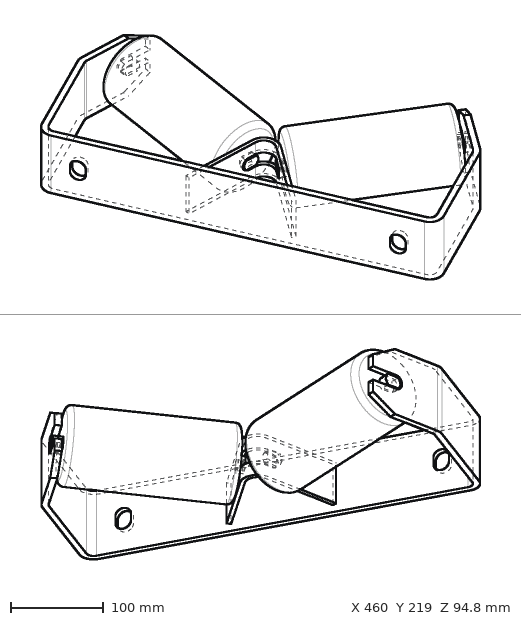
import cadquery as cq
import math

frame_width = 460.0
frame_height = 80.0
frame_thickness = 8.0
frame_bend_radius = 16.0
side_length = 133.0
wing_length = 93.5
lean = 30.0

wing_chamfer_along = 30.5
wing_chamfer_across = 17.0
shaft_slot_width = 16.5
wing_slot_depth = 40.0

mount_slot_width = 18.0
mount_slot_height = 25.5
mount_slot_x = 183.0

bracket_height = 50.0
bracket_thickness = 5.0
bracket_bend_radius = 19.0
arm_length = 126.0
bracket_slot_reach = 50.0

roller_diameter = 89.0
roller_length = 190.5
roller_edge_radius = 6.5
shaft_diameter = 20.0
shaft_outer_reach = 106.5
shaft_inner_reach = 103.5
shaft_flat_width = 14.0
roller_x = 104.5
roller_y = 135.2
roller_z = -3.0
roller_tilt = 1.9

corner_reach = 0.25

sin_lean = math.sin(math.radians(lean))
cos_lean = math.cos(math.radians(lean))
bracket_z = roller_z - roller_length / 2 * math.sin(math.radians(roller_tilt))


def bent_strip(outer_half, inner_half, height, middle_z, bends):
    """Strip mirrored about X = 0; bends lists (corner on the +X side, fillet radius)."""
    half = outer_half + inner_half
    solid = (
        cq.Workplane("XY")
        .workplane(offset=middle_z - height / 2)
        .polyline(half)
        .close()
        .extrude(height)
    )
    solid = solid.union(solid.mirror("YZ")).clean()
    for (x, y), radius in bends:
        for side in {x, -x}:
            corner = cq.selectors.BoxSelector(
                (side - corner_reach, y - corner_reach, middle_z - height),
                (side + corner_reach, y + corner_reach, middle_z + height),
            )
            solid = solid.edges("|Z").edges(corner).fillet(radius)
    return solid


def leaning_plane(x, y, z):
    """Plane on the +X wing: local X runs up the wing, local Y is Z, normal points outward."""
    return cq.Plane(origin=(x, y, z), xDir=(-sin_lean, cos_lean, 0), normal=(cos_lean, sin_lean, 0))


def make_frame():
    half_width = frame_width / 2
    bend_shift = frame_thickness * math.tan(math.radians(lean / 2))
    outer_bend = (half_width, side_length)
    inner_bend = (half_width - frame_thickness, side_length - bend_shift)
    outer_tip = (half_width - wing_length * sin_lean, side_length + wing_length * cos_lean)
    inner_tip = (outer_tip[0] - frame_thickness * cos_lean, outer_tip[1] - frame_thickness * sin_lean)
    outer_corner = (half_width, 0)
    inner_corner = (half_width - frame_thickness, frame_thickness)
    inner_radius = frame_bend_radius - frame_thickness
    frame = bent_strip(
        [(0, 0), outer_corner, outer_bend, outer_tip],
        [inner_tip, inner_bend, inner_corner, (0, frame_thickness)],
        frame_height,
        0,
        [
            (outer_corner, frame_bend_radius),
            (inner_corner, inner_radius),
            (outer_bend, frame_bend_radius),
            (inner_bend, inner_radius),
        ],
    )

    tip = cq.Workplane(leaning_plane(*outer_tip, 0))
    through = 2 * frame_thickness
    slot_radius = shaft_slot_width / 2
    slot_straight = wing_slot_depth - slot_radius
    wing_cut = (
        tip.moveTo(0, -slot_radius)
        .lineTo(-slot_straight, -slot_radius)
        .threePointArc((-wing_slot_depth, 0), (-slot_straight, slot_radius))
        .lineTo(0, slot_radius)
        .close()
        .extrude(through, both=True)
    )
    for side in (-1, 1):
        edge = side * frame_height / 2
        wing_cut = wing_cut.union(
            tip.moveTo(0, edge)
            .lineTo(-wing_chamfer_along, edge)
            .lineTo(0, edge - side * wing_chamfer_across)
            .close()
            .extrude(through, both=True)
        )
    frame = frame.cut(wing_cut).cut(wing_cut.mirror("YZ"))

    mount_slots = (
        cq.Workplane("XZ")
        .pushPoints([(-mount_slot_x, 0), (mount_slot_x, 0)])
        .slot2D(mount_slot_height, mount_slot_width, 90)
        .extrude(-frame_thickness)
    )
    return frame.cut(mount_slots)


def make_bracket():
    outer_foot = (arm_length * sin_lean, frame_thickness + bracket_thickness * sin_lean)
    inner_foot = (outer_foot[0] - bracket_thickness * cos_lean, frame_thickness)
    apex = (0, outer_foot[1] + arm_length * cos_lean)
    inner_apex = (0, apex[1] - bracket_thickness / sin_lean)
    bracket = bent_strip(
        [apex, outer_foot],
        [inner_foot, inner_apex],
        bracket_height,
        bracket_z,
        [(apex, bracket_bend_radius), (inner_apex, bracket_bend_radius - bracket_thickness)],
    )

    slot_radius = shaft_slot_width / 2
    straight = bracket_slot_reach - slot_radius
    arm_slot = (
        cq.Workplane(leaning_plane(*apex, bracket_z))
        .moveTo(0, -slot_radius)
        .lineTo(-straight, -slot_radius)
        .threePointArc((-bracket_slot_reach, 0), (-straight, slot_radius))
        .lineTo(0, slot_radius)
        .close()
        .extrude(-bracket_bend_radius)
    )
    return bracket.cut(arm_slot).cut(arm_slot.mirror("YZ"))


def make_roller(side):
    """Roller and shaft as one body; side is -1 for the -X roller and 1 for the +X roller."""
    roller = (
        cq.Workplane("YZ")
        .circle(roller_diameter / 2)
        .extrude(roller_length)
        .translate((-roller_length / 2, 0, 0))
        .edges()
        .fillet(roller_edge_radius)
    )
    shaft_length = shaft_outer_reach + shaft_inner_reach
    shaft_middle = side * (shaft_outer_reach - shaft_inner_reach) / 2
    shaft = (
        cq.Workplane("YZ")
        .circle(shaft_diameter / 2)
        .extrude(shaft_length)
        .translate((-shaft_length / 2, 0, 0))
        .intersect(cq.Workplane("XY").box(shaft_length, shaft_diameter, shaft_flat_width))
        .translate((shaft_middle, 0, 0))
    )
    return (
        roller.union(shaft)
        .rotate((0, 0, 0), (0, 1, 0), -side * roller_tilt)
        .rotate((0, 0, 0), (0, 0, 1), side * lean)
        .translate((side * roller_x, roller_y, roller_z))
    )


frame = make_frame()
bracket = make_bracket()
rollers = [make_roller(side) for side in (-1, 1)]

result = cq.Compound.makeCompound(
    [frame.val(), bracket.val(), *[roller.val() for roller in rollers]]
)